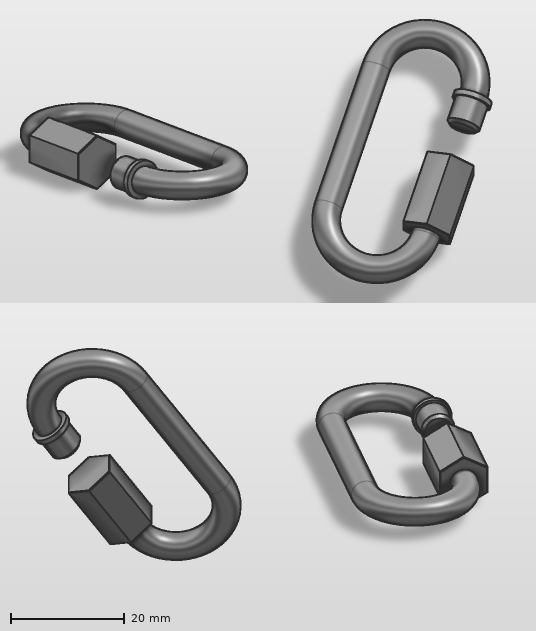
import cadquery as cq

overall_length = 50.0
rod_diameter = 5.0
bend_radius = 9.0
bend_center_x = (overall_length - rod_diameter) / 2 - bend_radius

nut_corner_width = 10.0
nut_length = 13.8
nut_gap = 0.5
nut_edge_chamfer = 0.15

collar_diameter = 7.0
collar_length = 1.0
stud_diameter = 6.0
stud_length = 5.0
stud_chamfer = 0.6


def bent_rod():
    """Round rod swept along a straight back and two half-circle bends."""
    path = (
        cq.Workplane("XY")
        .moveTo(-bend_center_x, -bend_radius)
        .threePointArc((-bend_center_x - bend_radius, 0), (-bend_center_x, bend_radius))
        .lineTo(bend_center_x, bend_radius)
        .threePointArc((bend_center_x + bend_radius, 0), (bend_center_x, -bend_radius))
    )
    start = cq.Workplane("YZ", origin=(-bend_center_x, -bend_radius, 0))
    return start.circle(rod_diameter / 2).sweep(path)


def end_plane(x):
    """Plane across the axis of the rod ends, facing +X."""
    return cq.Workplane("YZ", origin=(x, -bend_radius, 0))


def hex_nut():
    """Hexagonal sleeve with corners up and down and chamfered end edges."""
    return (
        end_plane(-bend_center_x + nut_gap)
        .transformed(rotate=(0, 0, 90))
        .polygon(6, nut_corner_width)
        .extrude(nut_length)
        .faces("<X or >X")
        .edges()
        .chamfer(nut_edge_chamfer)
    )


def rod_to_nut():
    """Short straight length of rod leading into the sleeve."""
    return end_plane(-bend_center_x).circle(rod_diameter / 2).extrude(nut_gap)


def collared_stud():
    """Stud with a chamfered tip, pointing at the sleeve, and its stop collar."""
    base = end_plane(bend_center_x)
    collar = base.circle(collar_diameter / 2).extrude(-collar_length)
    stud = (
        base.circle(stud_diameter / 2)
        .extrude(-collar_length - stud_length)
        .faces("<X")
        .chamfer(stud_chamfer)
    )
    return collar.union(stud)


result = bent_rod().union(rod_to_nut()).union(hex_nut()).union(collared_stud())